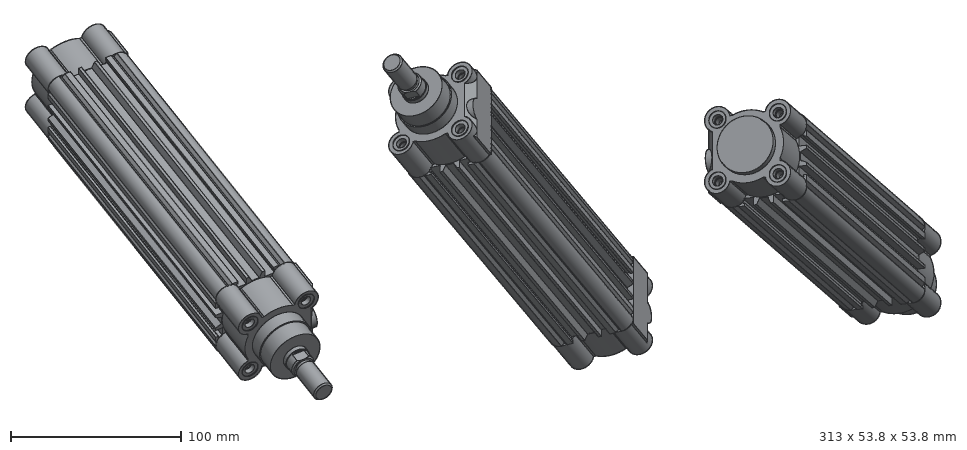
import cadquery as cq
import math

REAR_COLLAR_LENGTH = 4.0
CAP_LENGTH = 27.2
BARREL_LENGTH = 200.3
FRONT_COLLAR_LENGTH = 8.5
NOSE_LENGTH = 11.5
TOTAL_LENGTH = 313.0
REAR_CAP_START = REAR_COLLAR_LENGTH
BARREL_START = REAR_CAP_START + CAP_LENGTH
BARREL_END = BARREL_START + BARREL_LENGTH
FRONT_CAP_END = BARREL_END + CAP_LENGTH
NOSE_START = FRONT_CAP_END + FRONT_COLLAR_LENGTH
ROD_START = NOSE_START + NOSE_LENGTH

SECTION_SIZE = 53.8
HALF_SIZE = SECTION_SIZE / 2
CORNER_RADIUS = 16.0 / 2
CORNER_CENTER = HALF_SIZE - CORNER_RADIUS

CAP_CORE_RADIUS = 22.5
CAP_CORE_SQUARE = 40.7
COLLAR_RADIUS = 17.5
NOSE_RADIUS = 33.5 / 2
PORT_BLOCK_HALF_HEIGHT = 23.5
PORT_BLOCK_BASE_Y = 15.5
SLOPE_LENGTH = 7.0
SLOPE_FOOT_Y = 22.0
PORT_BOSS_RADIUS = 7.5
PORT_BOSS_Z = -3.8
PORT_BOSS_NEAR_EDGE = 1.3

HEAD_RADIUS = 5.3
HEAD_RECESS = 0.5
THREAD_RADIUS = 2.5
THREAD_DEPTH = 9.5
MOUTH_RADIUS = 3.0
MOUTH_DEPTH = 3.5
DRILL_HALF_ANGLE = 59.0

BARREL_CORNER_RADIUS = 7.2
SLOT_FLOOR = 22.2
RIB_OUTER = 6.3
RIB_TIP_INNER = 4.5
RIB_ROOT_INNER = 2.5
MIDDLE_FLOOR_RADIUS = 23.2
LIP_EDGE = 12.0
LIP_UNDERCUT_EDGE = 12.8
LIP_THICKNESS = 2.0
GROOVE_INNER = 15.5
GROOVE_OUTER = 19.5
GROOVE_DEPTH = 2.0
CUT_CLEARANCE = 3.0

ROD_RADIUS = 16.0 / 2
ROD_SHOULDER_LENGTH = 2.8
FLATS_OFFSET = 1.0
GRIP_RADIUS = 7.5
GRIP_LENGTH = 7.2
FLATS_WIDTH = 12.8
GRIP_CHAMFER = 1.0
NECK_RADIUS = 5.3
NECK_LENGTH = 2.5
STUD_RADIUS = 6.3
STUD_CHAMFER = 1.0


def disc(radius, start, length, y=0.0, z=0.0):
    """Cylinder along X."""
    return cq.Workplane("YZ", origin=(start, 0, 0)).center(y, z).circle(radius).extrude(length)


def corner_hole():
    """Recessed, stepped thread hole with a drill point, running along X from x = 0."""
    recess_floor = HEAD_RECESS
    mouth_floor = recess_floor + MOUTH_DEPTH
    point_length = THREAD_RADIUS / math.tan(math.radians(DRILL_HALF_ANGLE))
    return (
        cq.Workplane("XY")
        .moveTo(0, 0)
        .lineTo(0, HEAD_RADIUS)
        .lineTo(recess_floor, HEAD_RADIUS)
        .lineTo(recess_floor, MOUTH_RADIUS)
        .lineTo(mouth_floor, MOUTH_RADIUS)
        .lineTo(mouth_floor, THREAD_RADIUS)
        .lineTo(THREAD_DEPTH, THREAD_RADIUS)
        .lineTo(THREAD_DEPTH + point_length, 0)
        .close()
        .revolve(360, (0, 0, 0), (1, 0, 0))
    )


def port_block():
    """Flat-topped block on the +Y side, with a slope at its outer end."""
    return (
        cq.Workplane("XY")
        .moveTo(0, PORT_BLOCK_BASE_Y)
        .lineTo(0, SLOPE_FOOT_Y)
        .lineTo(SLOPE_LENGTH, HALF_SIZE)
        .lineTo(CAP_LENGTH, HALF_SIZE)
        .lineTo(CAP_LENGTH, PORT_BLOCK_BASE_Y)
        .close()
        .extrude(PORT_BLOCK_HALF_HEIGHT, both=True)
    )


def port_boss():
    """Round boss rising out of the slope to the flat top of the port block."""
    center_x = PORT_BOSS_NEAR_EDGE + PORT_BOSS_RADIUS
    return (
        cq.Workplane("XZ", origin=(center_x, PORT_BLOCK_BASE_Y, PORT_BOSS_Z))
        .circle(PORT_BOSS_RADIUS)
        .extrude(PORT_BLOCK_BASE_Y - HALF_SIZE)
    )


def end_cap():
    """Cap body with its outer face at x = 0 and its barrel face at x = CAP_LENGTH."""
    square = cq.Workplane("YZ").rect(CAP_CORE_SQUARE, CAP_CORE_SQUARE).extrude(CAP_LENGTH)
    trim = (
        cq.Workplane("XY")
        .box(CAP_LENGTH, SECTION_SIZE, SECTION_SIZE, centered=(False, True, True))
        .translate((0, SLOPE_FOOT_Y - HALF_SIZE, 0))
    )
    cap = disc(CAP_CORE_RADIUS, 0, CAP_LENGTH).intersect(trim).union(square)
    cap = cap.union(port_block()).union(port_boss())
    corners = [(y, z) for y in (-CORNER_CENTER, CORNER_CENTER) for z in (-CORNER_CENTER, CORNER_CENTER)]
    for y, z in corners:
        cap = cap.union(disc(CORNER_RADIUS, 0, CAP_LENGTH, y, z))
    for y, z in corners:
        cap = cap.cut(corner_hole().translate((0, y, z)))
    return cap


def make_rear_cap():
    collar = disc(COLLAR_RADIUS, 0, REAR_COLLAR_LENGTH)
    return end_cap().translate((REAR_CAP_START, 0, 0)).union(collar)


def make_front_cap():
    collar = disc(COLLAR_RADIUS, FRONT_CAP_END, FRONT_COLLAR_LENGTH)
    nose = disc(NOSE_RADIUS, NOSE_START, NOSE_LENGTH)
    return end_cap().mirror("YZ").translate((FRONT_CAP_END, 0, 0)).union(collar).union(nose)


def side_points():
    """Half of the +Z side outline, from the middle out to the V groove, as (across, height)."""
    groove_middle = (GROOVE_INNER + GROOVE_OUTER) / 2
    middle_floor = math.sqrt(MIDDLE_FLOOR_RADIUS**2 - RIB_ROOT_INNER**2)
    lip_underside = HALF_SIZE - LIP_THICKNESS
    return [
        (RIB_ROOT_INNER, middle_floor),
        (RIB_TIP_INNER, HALF_SIZE),
        (RIB_OUTER, HALF_SIZE),
        (RIB_OUTER, SLOT_FLOOR),
        (LIP_UNDERCUT_EDGE, SLOT_FLOOR),
        (LIP_UNDERCUT_EDGE, lip_underside),
        (LIP_EDGE, lip_underside),
        (LIP_EDGE, HALF_SIZE),
        (GROOVE_INNER, HALF_SIZE),
        (groove_middle, HALF_SIZE - GROOVE_DEPTH),
        (GROOVE_OUTER, HALF_SIZE),
    ]


def make_barrel():
    """Extruded profile with the same slotted outline on all four sides."""
    half_side = side_points()
    mirrored_half = [(-across, height) for across, height in reversed(half_side)]
    barrel = (
        cq.Workplane("YZ", origin=(BARREL_START, 0, 0))
        .rect(SECTION_SIZE, SECTION_SIZE)
        .extrude(BARREL_LENGTH)
        .edges("|X")
        .fillet(BARREL_CORNER_RADIUS)
    )
    void_top = HALF_SIZE + CUT_CLEARANCE
    void = (
        cq.Workplane("YZ", origin=(BARREL_START, 0, 0))
        .polyline(mirrored_half)
        .threePointArc((0, MIDDLE_FLOOR_RADIUS), half_side[0])
        .polyline(half_side[1:], includeCurrent=True)
        .lineTo(GROOVE_OUTER, void_top)
        .lineTo(-GROOVE_OUTER, void_top)
        .close()
        .extrude(BARREL_LENGTH)
    )
    for quarter in range(4):
        barrel = barrel.cut(void.rotate((0, 0, 0), (1, 0, 0), 90 * quarter))
    return barrel


def make_rod():
    grip_start = ROD_START + ROD_SHOULDER_LENGTH
    neck_start = grip_start + GRIP_LENGTH
    stud_start = neck_start + NECK_LENGTH
    shoulder = disc(ROD_RADIUS, ROD_START, ROD_SHOULDER_LENGTH)
    grip = disc(GRIP_RADIUS, grip_start, GRIP_LENGTH).faces(">X").chamfer(GRIP_CHAMFER)
    flat_cut = cq.Workplane("XY").box(GRIP_LENGTH, SECTION_SIZE, SECTION_SIZE, centered=(False, True, False))
    flat_cut = flat_cut.translate((grip_start + FLATS_OFFSET, 0, FLATS_WIDTH / 2))
    grip = grip.cut(flat_cut).cut(flat_cut.mirror("XY"))
    neck = disc(NECK_RADIUS, neck_start, NECK_LENGTH)
    stud = disc(STUD_RADIUS, stud_start, TOTAL_LENGTH - stud_start).faces(">X").chamfer(STUD_CHAMFER)
    return shoulder.union(grip).union(neck).union(stud)


rear_cap = make_rear_cap()
barrel = make_barrel()
front_cap = make_front_cap()
rod = make_rod()

result = cq.Compound.makeCompound([rear_cap.val(), barrel.val(), front_cap.val(), rod.val()])